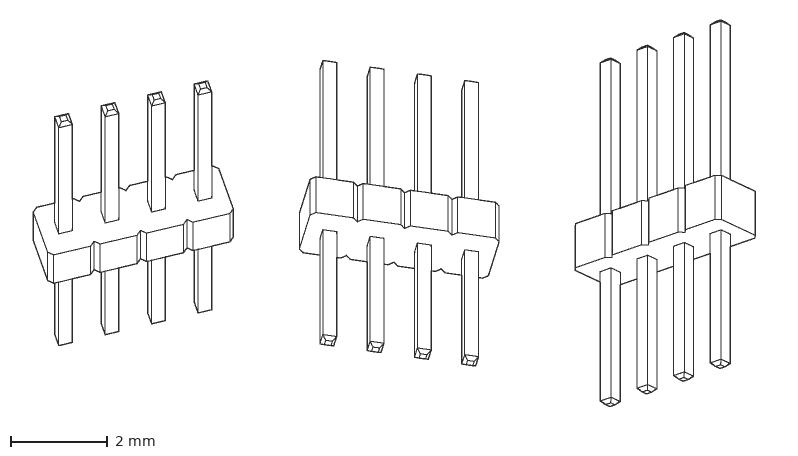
import cadquery as cq

total_height = 7.8
pin_count = 4
body_width = 1.27
body_length = 4.0
body_height = 1.0
body_bottom = 3.0

pitch = body_length / pin_count
corner_cut = 0.1
pin_side = 0.3
tip_length = 0.08
tip_side = 0.14


def make_segment(y_center):
    """One housing segment: a block with its four upright edges chamfered."""
    return (
        cq.Workplane("XY", origin=(0, y_center, body_bottom))
        .box(body_width, pitch, body_height, centered=(True, True, False))
        .edges("|Z")
        .chamfer(corner_cut)
    )


def make_tip(y_center, base_height, direction):
    """A truncated pyramid that narrows away from the pin shaft."""
    return (
        cq.Workplane("XY", origin=(0, y_center, base_height))
        .rect(pin_side, pin_side)
        .workplane(offset=direction * tip_length)
        .rect(tip_side, tip_side)
        .loft(ruled=True)
    )


def make_pin(y_center):
    """A square pin with a tapered tip at each end."""
    shaft_length = total_height - 2 * tip_length
    shaft = cq.Workplane("XY", origin=(0, y_center, tip_length)).box(
        pin_side, pin_side, shaft_length, centered=(True, True, False)
    )
    lower_tip = make_tip(y_center, tip_length, -1)
    upper_tip = make_tip(y_center, total_height - tip_length, 1)
    return shaft.union(lower_tip).union(upper_tip)


pin_positions = [(i - (pin_count - 1) / 2) * pitch for i in range(pin_count)]

result = make_segment(pin_positions[0])
for y_center in pin_positions[1:]:
    result = result.union(make_segment(y_center))
for y_center in pin_positions:
    result = result.union(make_pin(y_center))
result = result.clean()